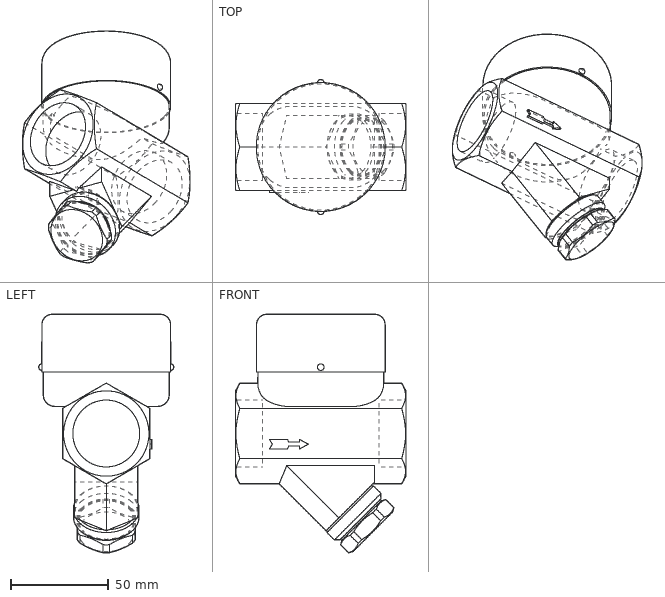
import cadquery as cq
import math

hexagon_sides = 6

body_length = 88.0
body_across_flats = 45.0
body_face_diameter = 44.0
body_chamfer_angle = 30.0
bore_diameter = 34.5
bore_depth = 14.0

cover_diameter = 66.5
cover_top = 61.5
cover_bottom = 31.7
cover_fillet = 5.5
cup_diameter = 65.0
cup_bottom = 13.9
cup_fillet = 6.0

pin_radius = 1.7
pin_tip_y = 34.845
pin_height = 34.2

branch_angle = 45.0
branch_axis_x = -23.8
branch_width = 32.5
branch_keel = 16.7
branch_wall_x = 27.8
branch_end = 54.2
keel_slope = 30.0

collar_diameter = 34.0
collar_length = 8.4
collar_inner_chamfer = 1.0
collar_outer_chamfer = 2.0
neck_diameter = 29.0
neck_length = 0.85
nut_across_flats = 30.0
nut_corner_diameter = 33.0
nut_length = 8.2
nut_face_diameter = 29.0
nut_chamfer_angle = 30.0

arrow_relief = 1.0
arrow_tail_x = -26.5
arrow_notch = 1.6
arrow_shoulder_x = -17.2
arrow_shaft_x = -16.5
arrow_head_x = -11.0
arrow_tip_x = -6.4
arrow_z = -5.5
arrow_half_width = 2.5
arrow_shaft_half_width = 1.0


def hexagon_corners(across_flats):
    """Diameter of the circle through the corners of a hexagon."""
    return across_flats / math.cos(math.pi / hexagon_sides)


def chamfered_round(length, face_diameter, outer_diameter, angle):
    """Round bar from z = 0 to length, coned at both ends; it trims a hexagon's corners."""
    face_radius = face_diameter / 2
    outer_radius = outer_diameter / 2
    cone = (outer_radius - face_radius) * math.tan(math.radians(angle))
    profile = [
        (0, 0),
        (face_radius, 0),
        (outer_radius, cone),
        (outer_radius, length - cone),
        (face_radius, length),
        (0, length),
    ]
    return cq.Workplane("XZ").polyline(profile).close().revolve(360, (0, 0), (0, 1))


def hexagon_bar(across_flats, length, face_diameter, outer_diameter, angle):
    """Hexagonal bar along Z with flats on +/-Y and coned ends."""
    bar = cq.Workplane("XY").polygon(hexagon_sides, hexagon_corners(across_flats)).extrude(length)
    return bar.intersect(chamfered_round(length, face_diameter, outer_diameter, angle))


def make_body():
    bar = hexagon_bar(
        body_across_flats,
        body_length,
        body_face_diameter,
        hexagon_corners(body_across_flats),
        body_chamfer_angle,
    )
    return bar.translate((0, 0, -body_length / 2)).rotate((0, 0, 0), (0, 1, 0), 90)


def make_bores():
    bore = cq.Workplane("YZ").circle(bore_diameter / 2).extrude(bore_depth)
    inlet = bore.translate((-body_length / 2, 0, 0))
    outlet = bore.translate((body_length / 2 - bore_depth, 0, 0))
    return inlet.union(outlet)


def make_cover():
    cover = (
        cq.Workplane("XY", origin=(0, 0, cover_bottom))
        .circle(cover_diameter / 2)
        .extrude(cover_top - cover_bottom)
        .faces(">Z").edges().fillet(cover_fillet)
    )
    cup = (
        cq.Workplane("XY", origin=(0, 0, cup_bottom))
        .circle(cup_diameter / 2)
        .extrude(cover_bottom - cup_bottom)
        .faces("<Z").edges().fillet(cup_fillet)
    )
    return cover.union(cup)


def make_pin(side):
    centre_y = side * (pin_tip_y - pin_radius)
    return cq.Workplane("XY").sphere(pin_radius).translate((0, centre_y, pin_height))


def tilt_to_branch(shape):
    """Move a shape built along +Z from the origin onto the branch axis."""
    return shape.rotate((0, 0, 0), (0, 1, 0), 90 + branch_angle).translate((branch_axis_x, 0, 0))


def make_branch():
    """Keel-bottomed prism along the sloping axis, kept below Z = 0 and inside the upright wall."""
    half_width = branch_width / 2
    keel_side = branch_keel - half_width * math.tan(math.radians(keel_slope))
    section_reach = body_length
    section = [
        (-section_reach, half_width),
        (keel_side, half_width),
        (branch_keel, 0),
        (keel_side, -half_width),
        (-section_reach, -half_width),
    ]
    prism = cq.Workplane("XY").polyline(section).close().extrude(branch_end)
    limits = cq.Workplane("XY").box(
        body_length, branch_width, 2 * body_length, centered=(False, True, False)
    )
    limits = limits.translate((branch_wall_x - body_length, 0, -2 * body_length))
    return tilt_to_branch(prism).intersect(limits)


def make_plug():
    collar = (
        cq.Workplane("XY")
        .circle(collar_diameter / 2)
        .extrude(collar_length)
        .faces("<Z").chamfer(collar_inner_chamfer)
        .faces(">Z").chamfer(collar_outer_chamfer)
    )
    nut_start = collar_length + neck_length
    neck = cq.Workplane("XY").circle(neck_diameter / 2).extrude(nut_start)
    nut = hexagon_bar(
        nut_across_flats, nut_length, nut_face_diameter, nut_corner_diameter, nut_chamfer_angle
    )
    plug = collar.union(neck).union(nut.translate((0, 0, nut_start)))
    return tilt_to_branch(plug.translate((0, 0, branch_end)))


def make_arrow():
    lower_half = [
        (arrow_tail_x + arrow_notch, 0),
        (arrow_tail_x, -arrow_half_width),
        (arrow_shoulder_x, -arrow_half_width),
        (arrow_shaft_x, -arrow_shaft_half_width),
        (arrow_head_x, -arrow_shaft_half_width),
        (arrow_head_x, -arrow_half_width),
        (arrow_tip_x, 0),
    ]
    return (
        cq.Workplane("XZ", origin=(0, -body_across_flats / 2, arrow_z))
        .polyline(lower_half)
        .mirrorX()
        .extrude(arrow_relief)
    )


result = make_body().union(make_branch()).union(make_plug()).union(make_cover())
for side in (-1, 1):
    result = result.union(make_pin(side))
result = result.union(make_arrow()).cut(make_bores())